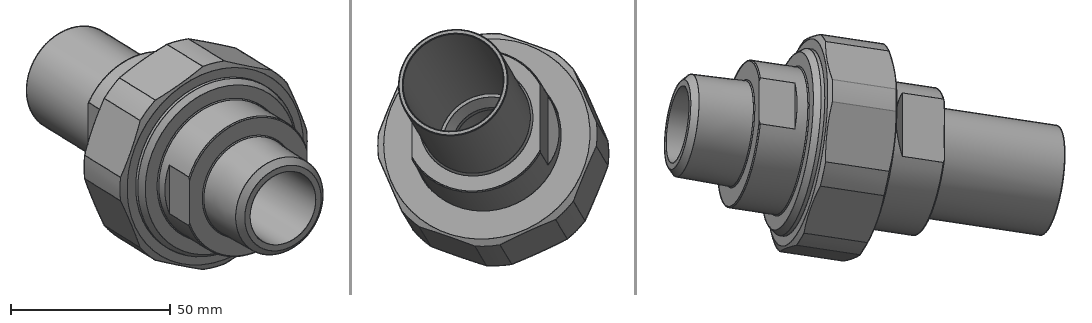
import cadquery as cq
import math

total_length = 122.0
collar_start = 40.6
nut_start = 59.9
nut_end = 82.7
seat_x = 68.3
shoulder_x = 86.0
collar_end = 101.9

collar_radius = 47.0 / 2
collar_chamfer = 0.4
bore_radius = 24.5 / 2

tube_radius = 35.0 / 2
tube_bore_radius = 32.0 / 2
tube_edge_chamfer = 0.2
weld_length = 0.9
weld_radius = 18.2
flange_start = 63.5
flange_radius = 54.5 / 2
funnel_start = flange_start
funnel_radius = 14.9
tail_flat_distance = 20.5
tail_flat_end = 54.4

union_thread_radius = 59.5 / 2
union_chamfer_radius = 56.6 / 2
union_chamfer_length = 2.1
shoulder_bevel = 0.4
pipe_step_length = 0.4
pipe_step_radius = 17.2
pipe_root_radius = 16.8
pipe_tip_radius = 16.3
pipe_chamfer = 2.1
end_flat_distance = 22.0
end_flat_start = 90.2
end_flat_run = 0.2

nut_sides = 8
nut_corner_radius = 70.0 / 2
nut_flat_distance = 33.7
nut_face_radius = 33.0
nut_chamfer_length = 1.0
nut_bore_radius = 47.5 / 2


def revolve_about_x(points):
    """Turn a closed (x, radius) profile about the X axis."""
    return cq.Workplane("XY").polyline(points).close().revolve(360, (0, 0, 0), (1, 0, 0))


def side_cutters(points):
    """Extrude an (x, y) outline through the height, once on each side of the axis."""
    height = 2 * union_thread_radius
    cutter = cq.Workplane("XY").polyline(points).close().extrude(height / 2, both=True)
    return cutter, cutter.mirror("XZ")


def make_tailpiece():
    tailpiece = revolve_about_x([
        (0, tube_bore_radius + tube_edge_chamfer),
        (0, tube_radius - tube_edge_chamfer),
        (tube_edge_chamfer, tube_radius),
        (collar_start - weld_length, tube_radius),
        (collar_start, weld_radius),
        (collar_start, collar_radius - collar_chamfer),
        (collar_start + collar_chamfer, collar_radius),
        (flange_start, collar_radius),
        (flange_start, flange_radius),
        (seat_x, flange_radius),
        (seat_x, bore_radius),
        (funnel_start + funnel_radius - bore_radius, bore_radius),
        (funnel_start, funnel_radius),
        (funnel_start, tube_bore_radius),
        (tube_edge_chamfer, tube_bore_radius),
    ])
    ramp = flange_radius - tail_flat_distance
    for cutter in side_cutters([
        (collar_start, tail_flat_distance),
        (tail_flat_end, tail_flat_distance),
        (tail_flat_end + ramp, flange_radius),
        (collar_start, flange_radius),
    ]):
        tailpiece = tailpiece.cut(cutter)
    return tailpiece


def make_threaded_end():
    threaded_end = revolve_about_x([
        (seat_x, bore_radius),
        (seat_x, union_thread_radius),
        (shoulder_x - union_chamfer_length, union_thread_radius),
        (shoulder_x, union_chamfer_radius),
        (shoulder_x, collar_radius + shoulder_bevel),
        (shoulder_x + shoulder_bevel, collar_radius),
        (collar_end - collar_chamfer, collar_radius),
        (collar_end, collar_radius - collar_chamfer),
        (collar_end, pipe_step_radius),
        (collar_end + pipe_step_length, pipe_root_radius),
        (total_length - pipe_chamfer, pipe_tip_radius),
        (total_length, pipe_tip_radius - pipe_chamfer),
        (total_length, bore_radius),
    ])
    flat_depth = collar_radius - end_flat_distance
    for cutter in side_cutters([
        (end_flat_start, end_flat_distance),
        (collar_end, end_flat_distance),
        (collar_end, end_flat_distance + flat_depth),
        (end_flat_start - end_flat_run, end_flat_distance + flat_depth),
    ]):
        threaded_end = threaded_end.cut(cutter)
    return threaded_end


def make_nut():
    nut = revolve_about_x([
        (nut_start, nut_bore_radius),
        (nut_start, nut_face_radius),
        (nut_start + nut_chamfer_length, nut_corner_radius),
        (nut_end - nut_chamfer_length, nut_corner_radius),
        (nut_end, nut_face_radius),
        (nut_end, union_thread_radius),
        (flange_start, union_thread_radius),
        (flange_start, nut_bore_radius),
    ])
    corner_diameter = 2 * nut_flat_distance / math.cos(math.pi / nut_sides)
    octagon = (
        cq.Workplane("YZ", origin=(nut_start, 0, 0))
        .polygon(nut_sides, corner_diameter)
        .extrude(nut_end - nut_start)
    )
    return nut.intersect(octagon)


tailpiece = make_tailpiece()
nut = make_nut()
threaded_end = make_threaded_end()

result = cq.Compound.makeCompound([tailpiece.val(), nut.val(), threaded_end.val()])